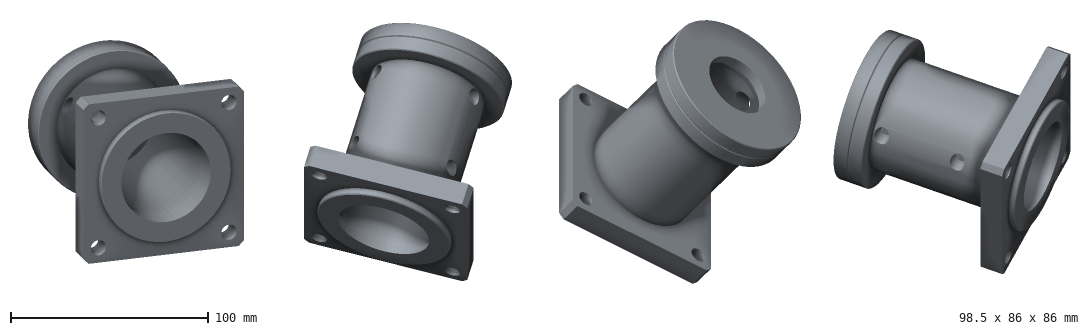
import cadquery as cq

length = 98.5
flange_width = 16.0
pilot_length = 3.6
plate_thickness = 12.0
plate_end = length - pilot_length
plate_start = plate_end - plate_thickness

flange_diameter = 80.0
body_diameter = 60.0
pilot_diameter = 70.0
plate_side = 86.0
plate_corner_chamfer = 2.8
edge_chamfer = 0.5

groove_depth = 0.5
groove_position = flange_width / 2

lip_diameter = 35.0
lip_length = 5.4
recess_diameter = 55.0
recess_width = 5.5
recess_end = lip_length + recess_width
bore_diameter = 48.0

mount_hole_diameter = 8.2
mount_hole_spacing = 70.0
cross_hole_diameter = 8.0
cross_hole_height = body_diameter / 4
cross_hole_positions = (20.7, 62.6)


def disc(start, width, diameter):
    """Solid cylinder on the X axis beginning at x = start."""
    return cq.Workplane("YZ", origin=(start, 0, 0)).circle(diameter / 2).extrude(width)


def cut_v_groove(flange):
    radius = flange_diameter / 2
    groove = (
        cq.Workplane("XY")
        .moveTo(groove_position - groove_depth, radius)
        .lineTo(groove_position, radius - groove_depth)
        .lineTo(groove_position + groove_depth, radius)
        .close()
        .revolve(360, (0, 0, 0), (1, 0, 0))
    )
    return flange.cut(groove)


def square_plate():
    return (
        cq.Workplane("YZ", origin=(plate_start, 0, 0))
        .rect(plate_side, plate_side)
        .extrude(plate_thickness)
        .edges("|X")
        .chamfer(plate_corner_chamfer)
        .faces("<X")
        .workplane()
        .rect(mount_hole_spacing, mount_hole_spacing, forConstruction=True)
        .vertices()
        .hole(mount_hole_diameter)
    )


def stepped_bore():
    lip_radius = lip_diameter / 2
    recess_radius = recess_diameter / 2
    bore_radius = bore_diameter / 2
    return (
        cq.Workplane("XY")
        .moveTo(0, 0)
        .lineTo(0, lip_radius)
        .lineTo(lip_length, lip_radius)
        .lineTo(lip_length, recess_radius)
        .lineTo(recess_end, recess_radius)
        .lineTo(recess_end, bore_radius + edge_chamfer)
        .lineTo(recess_end + edge_chamfer, bore_radius)
        .lineTo(length, bore_radius)
        .lineTo(length, 0)
        .close()
        .revolve(360, (0, 0, 0), (1, 0, 0))
    )


def cross_holes():
    return (
        cq.Workplane("XZ")
        .pushPoints([(x, cross_hole_height) for x in cross_hole_positions])
        .circle(cross_hole_diameter / 2)
        .extrude(body_diameter / 2, both=True)
    )


flange = cut_v_groove(disc(0, flange_width, flange_diameter).edges().chamfer(edge_chamfer))
body = disc(0, plate_end, body_diameter)
pilot = disc(plate_end, pilot_length, pilot_diameter).edges(">X").chamfer(edge_chamfer)

result = flange.union(body).union(square_plate()).union(pilot)
result = result.cut(stepped_bore()).cut(cross_holes())